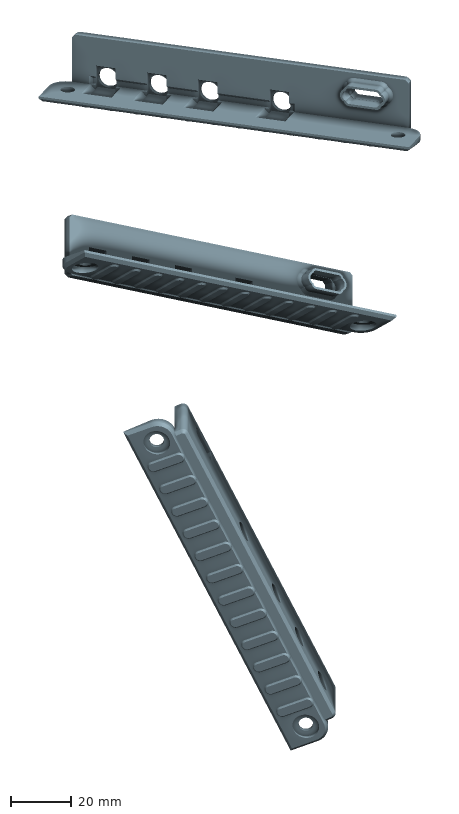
import cadquery as cq
import math


wall_length = 119.0
wall_thickness = 4.0
wall_top = 17.0
wall_bottom = -3.9
wall_corner_radius = 2.0
wall_chamfer = 1.0

flange_length = 131.0
flange_depth = 16.0
flange_corner_radius = (flange_length - wall_length) / 2
flange_edge_thickness = 1.8
flange_chamfer = 1.0
slope = math.degrees(math.atan((-wall_bottom - flange_edge_thickness) / flange_depth))

screw_hole_diameter = 4.8
screw_head_diameter = 8.9
screw_hole_inset = 7.1
screw_seat_z = -1.5

port_centres = [-47.7, -29.6, -11.7, 13.8]
port_width = 7.2
port_height = 7.0
port_recess_depth = 2.5
port_ceiling_drop = 1.2
port_hole_diameter = 7.0
port_hole_z = 2.1
pocket_depth = 1.7
pocket_front = 8.6

groove_left = -53.5
groove_right = 19.4
groove_height = 3.0
groove_depth = 1.0

socket_x = 45.0
socket_z = 10.6
socket_length = 5.0
socket_flat_half = 4.7
socket_height = 7.2
socket_half_width = 8.0
socket_corner_radius = 2.0
socket_crease_z = 2.2
socket_wall = 0.8
socket_flare = 1.0
window_length = 11.8
window_height = 5.5
window_chamfer = 1.0

pad_count = 12
pad_spacing = 9.2
pad_width = 3.9
pad_height = 0.5
pad_overlap = 0.5
pad_front_gap = 2.0
pad_back_gap = 0.7


def make_wall():
    wall = (
        cq.Workplane("XY", origin=(0, 0, wall_bottom))
        .rect(wall_length, 2 * wall_thickness)
        .extrude(wall_top - wall_bottom)
        .edges("|Z and >Y").fillet(wall_corner_radius)
        .faces("<Z or >Z").chamfer(wall_chamfer)
    )
    front_half = cq.Workplane("XY").box(
        flange_length, 2 * wall_thickness, 3 * wall_top, centered=(True, False, True)
    )
    return wall.cut(front_half.translate((0, -2 * wall_thickness, 0)))


def make_flange():
    half_length = flange_length / 2
    bar = (
        cq.Workplane("YZ", origin=(-half_length, 0, 0))
        .polyline([
            (0, 0),
            (-flange_depth, 0),
            (-flange_depth, -flange_edge_thickness),
            (0, wall_bottom),
        ])
        .close()
        .extrude(flange_length)
        .edges("|Z and >Y").fillet(flange_corner_radius)
    )
    return bar.faces("<Z").edges("not(>Y)").chamfer(flange_chamfer)


def make_pads():
    pad_length = (flange_depth - pad_front_gap - pad_back_gap) / math.cos(math.radians(slope))
    pads = cq.Workplane("XY")
    for index in range(pad_count):
        pad_x = (index - (pad_count - 1) / 2) * pad_spacing
        pad = (
            cq.Workplane("XY")
            .slot2D(pad_length, pad_width, 90)
            .extrude(-pad_overlap - pad_height)
            .faces("<Z").chamfer(pad_height)
            .translate((0, 0, pad_overlap))
        )
        pad_y = -(flange_depth - pad_front_gap + pad_back_gap) / 2
        pad_z = wall_bottom - pad_y * math.tan(math.radians(slope))
        pads = pads.add(pad.rotate((0, 0, 0), (1, 0, 0), -slope).translate((pad_x, pad_y, pad_z)))
    return pads.combine()


def make_screw_cutters():
    centres = [
        (side * (flange_length / 2 - screw_hole_inset), -screw_hole_inset)
        for side in (-1, 1)
    ]
    holes = (
        cq.Workplane("XY").pushPoints(centres)
        .circle(screw_hole_diameter / 2).extrude(2 * wall_bottom)
    )
    heads = (
        cq.Workplane("XY", origin=(0, 0, screw_seat_z)).pushPoints(centres)
        .circle(screw_head_diameter / 2).extrude(2 * wall_bottom)
    )
    return holes.union(heads)


def make_port_cutter(port_x):
    recess = (
        cq.Workplane("YZ", origin=(port_x - port_width / 2, 0, 0))
        .polyline([
            (0, -pocket_depth),
            (0, port_height),
            (port_recess_depth, port_height - port_ceiling_drop),
            (port_recess_depth, -pocket_depth),
        ])
        .close()
        .extrude(port_width)
    )
    hole = (
        cq.Workplane("XZ", origin=(port_x, 0, port_hole_z))
        .circle(port_hole_diameter / 2)
        .extrude(-2 * wall_thickness)
    )
    pocket = (
        cq.Workplane("XY", origin=(port_x, 0, 0))
        .rect(port_width + 2 * pocket_depth, 2 * pocket_front)
        .extrude(-pocket_depth, taper=45)
    )
    in_front = cq.Workplane("XY").box(
        flange_length, flange_depth, 2 * pocket_depth, centered=(True, False, True)
    ).translate((port_x, -flange_depth, 0))
    return recess.union(hole).union(pocket.intersect(in_front))


def make_groove_cutter():
    length = groove_right - groove_left
    full = (
        cq.Workplane("XZ", origin=((groove_left + groove_right) / 2, 0, 0))
        .rect(length, 2 * groove_height)
        .extrude(-groove_depth, taper=45)
    )
    above_flange = cq.Workplane("XY").box(
        flange_length, 2 * wall_thickness, groove_height, centered=(True, True, False)
    )
    return full.intersect(above_flange)


def socket_outline(y, inset):
    """Flat top and bottom; rounded corners meet a bulging nose in creases at each end."""
    top = socket_height / 2 - inset
    nose = socket_half_width - inset
    radius = socket_corner_radius - inset
    corner_z = socket_height / 2 - socket_corner_radius
    crease_z = socket_crease_z - inset / 2
    crease_angle = math.asin((crease_z - corner_z) / radius)
    middle_angle = (crease_angle + math.pi / 2) / 2
    crease_x = socket_flat_half + radius * math.cos(crease_angle)
    middle_x = socket_flat_half + radius * math.cos(middle_angle)
    middle_z = corner_z + radius * math.sin(middle_angle)
    return (
        cq.Workplane("XZ", origin=(socket_x, y, socket_z))
        .moveTo(-socket_flat_half, top)
        .lineTo(socket_flat_half, top)
        .threePointArc((middle_x, middle_z), (crease_x, crease_z))
        .threePointArc((nose, 0), (crease_x, -crease_z))
        .threePointArc((middle_x, -middle_z), (socket_flat_half, -top))
        .lineTo(-socket_flat_half, -top)
        .threePointArc((-middle_x, -middle_z), (-crease_x, -crease_z))
        .threePointArc((-nose, 0), (-crease_x, crease_z))
        .threePointArc((-middle_x, middle_z), (-socket_flat_half, top))
        .close()
    )


def make_socket():
    tube = socket_outline(0, 0).extrude(socket_length)
    flare = socket_outline(-socket_flare, 0).extrude(-socket_flare, taper=-45)
    return tube.union(flare)


def make_socket_cutter():
    bore = socket_outline(0, socket_wall).extrude(socket_length)
    window = (
        cq.Workplane("XZ", origin=(socket_x, 0, socket_z))
        .rect(window_length, window_height)
        .extrude(-wall_thickness)
        .edges("|Y").chamfer(window_chamfer)
    )
    return bore.union(window)


result = make_wall().union(make_flange()).union(make_pads()).union(make_socket())
result = result.cut(make_screw_cutters()).cut(make_groove_cutter()).cut(make_socket_cutter())
for port_centre in port_centres:
    result = result.cut(make_port_cutter(port_centre))